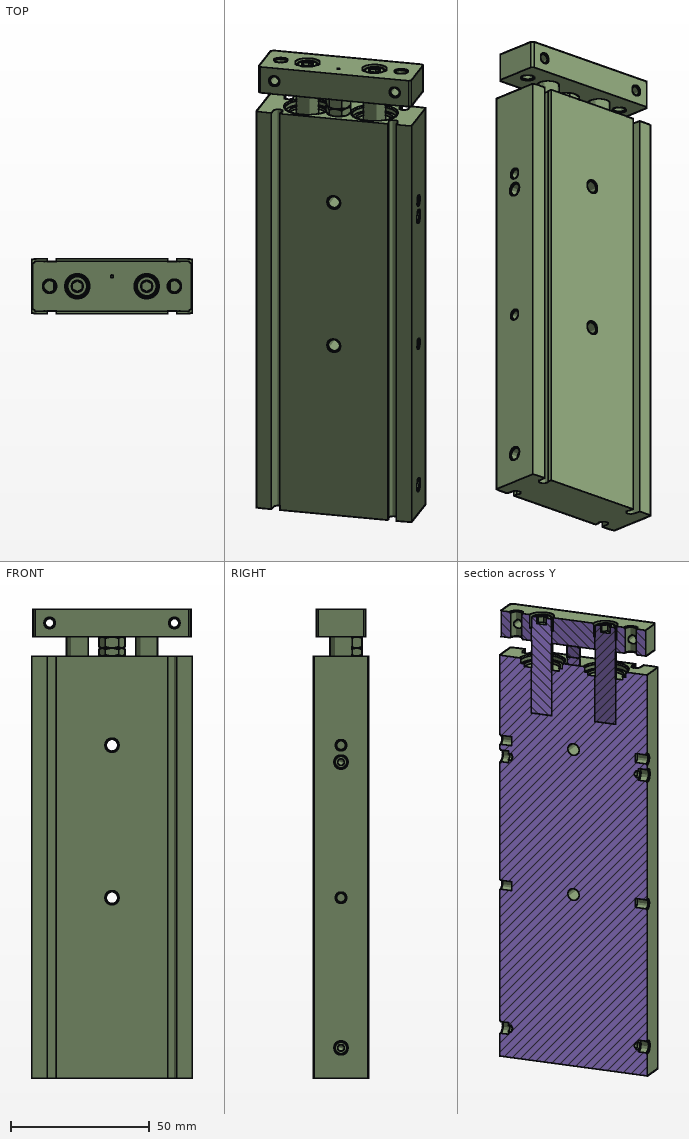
import cadquery as cq
import math

housing_width = 58.0
housing_depth = 20.0
housing_height = 152.1

corner_run = 2.7
corner_drop = 0.3

groove_x = 21.5
groove_diameter = 3.4
groove_axis_depth = 2.7
groove_mouth_inner_x = 20.1
groove_mouth_outer_x = 23.3

rod_spacing = 25.0
rod_x = rod_spacing / 2
rod_diameter = 8.0
rod_bore_depth = 20.3
seat_mouth_diameter = 17.0
seat_diameter = 16.0
seat_depth = 2.0
recess_diameter = 13.5
recess_depth = 3.0

plate_width = 57.0
plate_depth = 17.9
plate_thickness = 10.0
plate_corner_chamfer = 0.8
plate_top = 169.0
plate_bottom = plate_top - plate_thickness
plate_hole_x = 22.5
counterbore_diameter = 9.0
counterbore_depth = 5.0

head_chamfer = 0.5
head_recess = 0.5
socket_flats = 3.5
socket_mouth_diameter = 4.2
socket_depth = 2.5

small_tap = 3.2
small_mouth = 4.0
large_tap = 4.2
large_mouth = 5.0

mount_heights = [65.0, 120.0]
side_mount_depth = 4.5
port_heights = [11.0, 113.9]
port_depth = 3.4
pilot_diameter = 2.4
pilot_depth = 4.4
pilot_tip_angle = 118.0

bolt_y = 3.5
hex_flats = 8.1
hex_face_diameter = 8.0
hex_chamfer_height = 0.5
nut_height = 4.0
stud_diameter = 5.0
stud_depth = 4.0
vent_diameter = 1.0


def cylinder(diameter, height, x, y, z):
    """Upright cylinder whose lower face is centred on (x, y, z)."""
    return cq.Workplane("XY", origin=(x, y, z)).circle(diameter / 2).extrude(height)


def hole_cutter(tap, mouth, depth):
    """Upright cutter whose countersunk mouth lies on Z = 0 and which goes down from there."""
    countersink = (mouth - tap) / 2
    profile = cq.Workplane("XZ").lineTo(mouth / 2, 0).lineTo(tap / 2, -countersink).lineTo(tap / 2, -depth)
    return profile.lineTo(0, -depth).close().revolve(360, (0, 0, 0), (0, 1, 0))


def mirrored_pair(cutter, plane):
    """The cutter together with its mirror image."""
    return cutter.union(cutter.mirror(plane))


def through_hole(tap, mouth, thickness):
    """Upright cutter centred on the origin, countersunk at both faces."""
    half = hole_cutter(tap, mouth, thickness / 2).translate((0, 0, thickness / 2))
    return mirrored_pair(half, "XY")


def front_hole(tap, mouth, x, z, thickness):
    """Cutter for a hole right through along Y, countersunk at both faces."""
    return through_hole(tap, mouth, thickness).rotate((0, 0, 0), (1, 0, 0), 90).translate((x, 0, z))


def side_holes(cutter, z):
    """An upright cutter laid into both the left and the right housing side."""
    left = cutter.rotate((0, 0, 0), (0, 1, 0), -90)
    return mirrored_pair(left.translate((-housing_width / 2, 0, z)), "YZ")


def air_port():
    """Upright cutter for a tapped port ending in a narrower pilot with a drill point."""
    radius = pilot_diameter / 2
    tip_length = radius / math.tan(math.radians(pilot_tip_angle / 2))
    profile = cq.Workplane("XZ").lineTo(radius, 0).lineTo(radius, -pilot_depth)
    pilot = profile.lineTo(0, -pilot_depth - tip_length).close().revolve(360, (0, 0, 0), (0, 1, 0))
    return hole_cutter(large_tap, large_mouth, port_depth).union(pilot)


def housing_profile():
    """Rectangle whose corners fall away in shallow arcs tangent to the wide faces."""
    half_x = housing_width / 2
    half_y = housing_depth / 2
    flat_x = half_x - corner_run
    radius = (corner_run**2 + corner_drop**2) / (2 * corner_drop)
    half_angle = math.asin(corner_run / radius) / 2
    mid_x = flat_x + radius * math.sin(half_angle)
    mid_y = half_y - radius * (1 - math.cos(half_angle))
    side_y = half_y - corner_drop
    return (
        cq.Workplane("XY")
        .moveTo(-flat_x, half_y)
        .lineTo(flat_x, half_y)
        .threePointArc((mid_x, mid_y), (half_x, side_y))
        .lineTo(half_x, -side_y)
        .threePointArc((mid_x, -mid_y), (flat_x, -half_y))
        .lineTo(-flat_x, -half_y)
        .threePointArc((-mid_x, -mid_y), (-half_x, -side_y))
        .lineTo(-half_x, side_y)
        .threePointArc((-mid_x, mid_y), (-flat_x, half_y))
        .close()
    )


def sensor_grooves():
    """The four grooves; the outer wall of each mouth leans outward from the round bottom."""
    face_y = housing_depth / 2
    axis_y = face_y - groove_axis_depth
    tangent_x = groove_x + groove_diameter / 2
    mouth_corners = [
        (groove_mouth_inner_x, axis_y),
        (tangent_x, axis_y),
        (groove_mouth_outer_x, face_y),
        (groove_mouth_inner_x, face_y),
    ]
    mouth = cq.Workplane("XY").polyline(mouth_corners).close().extrude(housing_height)
    groove = cylinder(groove_diameter, housing_height, groove_x, axis_y, 0).union(mouth)
    return mirrored_pair(mirrored_pair(groove, "YZ"), "XZ")


def rod_seat(x):
    """Countersunk seat in the housing top, stepping down to a recess and the rod bore."""
    seat = hole_cutter(seat_diameter, seat_mouth_diameter, seat_depth)
    bore = cylinder(rod_diameter, rod_bore_depth, 0, 0, -rod_bore_depth)
    recess = cylinder(recess_diameter, recess_depth, 0, 0, -recess_depth)
    return seat.union(recess).union(bore).translate((x, 0, housing_height))


def make_housing():
    body = housing_profile().extrude(housing_height).cut(sensor_grooves())
    for x in (-rod_x, rod_x):
        body = body.cut(rod_seat(x))
    for z in mount_heights:
        body = body.cut(front_hole(large_tap, large_mouth, 0, z, housing_depth))
        body = body.cut(side_holes(hole_cutter(small_tap, small_mouth, side_mount_depth), z))
    for z in port_heights:
        body = body.cut(side_holes(air_port(), z))
    return body


def make_plate():
    body = cq.Workplane("XY").box(plate_width, plate_depth, plate_thickness, centered=(True, True, False))
    body = body.edges("|Z").chamfer(plate_corner_chamfer).translate((0, 0, plate_bottom))
    middle_z = plate_bottom + plate_thickness / 2
    for side in (-1, 1):
        hole_x = side * plate_hole_x
        upright_hole = through_hole(large_tap, large_mouth, plate_thickness)
        body = body.cut(upright_hole.translate((hole_x, 0, middle_z)))
        body = body.cut(front_hole(small_tap, small_mouth, hole_x, middle_z, plate_depth))
    for x in (-rod_x, rod_x):
        counterbore_bottom = plate_top - counterbore_depth
        body = body.cut(cylinder(counterbore_diameter, counterbore_depth, x, 0, counterbore_bottom))
        body = body.cut(cylinder(rod_diameter, plate_thickness, x, 0, plate_bottom))
    body = body.cut(cylinder(stud_diameter, stud_depth, 0, bolt_y, plate_bottom))
    return body.cut(cylinder(vent_diameter, plate_thickness, 0, bolt_y, plate_bottom))


def make_rod(x):
    """Rod from the bottom of its bore to just below the plate top, with a hexagon socket."""
    bottom = housing_height - rod_bore_depth
    top = plate_top - head_recess
    socket = cq.Workplane("XY", origin=(x, 0, top - socket_depth))
    socket = socket.polygon(6, socket_flats, circumscribed=True).extrude(socket_depth)
    mouth = hole_cutter(socket_flats, socket_mouth_diameter, socket_depth).translate((x, 0, top))
    socket = socket.union(mouth)
    rod = cylinder(rod_diameter, top - bottom, x, 0, bottom)
    return rod.faces(">Z").chamfer(head_chamfer).cut(socket)


def hexagon(bottom, top):
    """Hexagonal prism on the bolt axis with the corners chamfered at both ends."""
    height = top - bottom
    corner_diameter = hex_flats / math.cos(math.pi / 6)
    base = cq.Workplane("XY", origin=(0, bolt_y, bottom))
    prism = base.polygon(6, corner_diameter).extrude(height)
    chamfer_width = (corner_diameter - hex_face_diameter) / 2
    rounding = cylinder(corner_diameter, height, 0, bolt_y, bottom)
    rounding = rounding.faces("<Z or >Z").chamfer(hex_chamfer_height, chamfer_width)
    return prism.intersect(rounding)


def make_stop_bolt():
    """Bolt whose head rests on the housing and whose stud runs through the nut into the plate."""
    head_top = plate_bottom - nut_height
    stud = cylinder(stud_diameter, nut_height + stud_depth, 0, bolt_y, head_top)
    return hexagon(housing_height, head_top).union(stud)


def make_lock_nut():
    nut_bottom = plate_bottom - nut_height
    stud_hole = cylinder(stud_diameter, nut_height, 0, bolt_y, nut_bottom)
    return hexagon(nut_bottom, plate_bottom).cut(stud_hole)


housing = make_housing()
plate = make_plate()
rods = [make_rod(x) for x in (-rod_x, rod_x)]
stop_bolt = make_stop_bolt()
lock_nut = make_lock_nut()

result = cq.Compound.makeCompound(
    [housing.val(), plate.val(), *[rod.val() for rod in rods], stop_bolt.val(), lock_nut.val()]
)